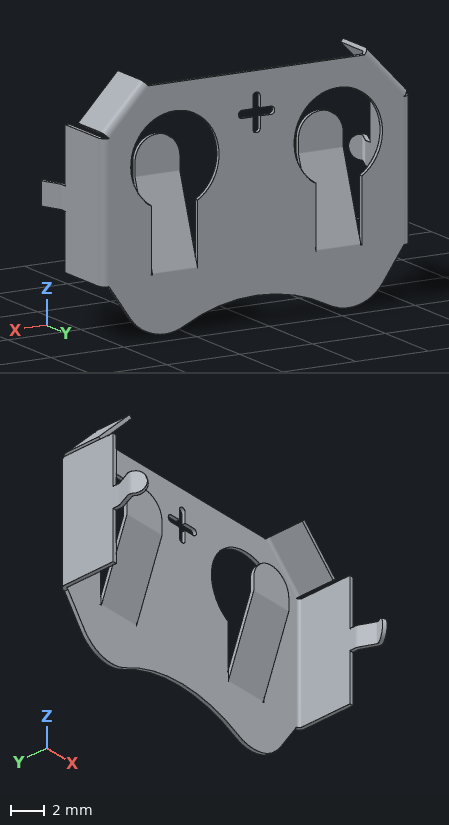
import cadquery as cq
import math


overall_width = 22.25
overall_depth = 7.03
sheet = 0.3
bend_inner = 0.2
bend_outer = bend_inner + sheet

latch_overhang = 0.51
latch_width = 1.55
latch_kink_depth = 4.78
latch_out_angle = math.radians(23.5)
latch_return_angle = math.radians(32)

flat_half_width = overall_width / 2 - latch_overhang - bend_outer
top_half_width = 7.39
top_z = 15.26
wall_top_z = 12.4
wall_bottom_z = 3.35
lobe_x = 6.3
lobe_radius = 2.9
bottom_arch_rise = 1.55

wall_depth = 4.32
corner_flange_depth = 3.05

finger_x = 5.6
finger_width = 3.1
finger_depth = 2.31
finger_root_z = 3.72
finger_bend_z = 9.2
finger_bend_radius = 0.2
finger_tip_z = 11.68
finger_side_gap = 0.07
window_radius = 3.03
window_z = 10.48

plus_z = 12.7
plus_length = 2.47
plus_arm_width = 0.5


def unit_direction(start, end):
    length = math.dist(start, end)
    return ((end[0] - start[0]) / length, (end[1] - start[1]) / length)


def offset_path(path, distance):
    """Mitred offset of an open path, to the left of its direction of travel."""
    directions = [unit_direction(a, b) for a, b in zip(path, path[1:])]
    before = directions[:1] + directions
    after = directions + directions[-1:]
    shifted = []
    for (x, y), d1, d2 in zip(path, before, after):
        mitre = distance / (1 + d1[0] * d2[0] + d1[1] * d2[1])
        shifted.append((x - (d1[1] + d2[1]) * mitre, y + (d1[0] + d2[0]) * mitre))
    return shifted


def sheet_outline(path):
    """Closed outline of the sheet lying on the left of a path."""
    return path + offset_path(path, sheet)[::-1]


def fillet_edge_at(body, midpoint, radius):
    return body.edges(cq.NearestToPointSelector(midpoint)).fillet(radius)


def half_plate():
    foot_dx = flat_half_width - lobe_x
    foot_dz = wall_bottom_z - lobe_radius
    foot_distance = math.hypot(foot_dx, foot_dz)
    tangent_angle = math.atan2(foot_dz, foot_dx) - math.acos(lobe_radius / foot_distance)

    radius_sum = (lobe_x**2 + bottom_arch_rise**2) / (2 * bottom_arch_rise)
    arch_radius = radius_sum - lobe_radius
    arch_center_z = bottom_arch_rise - arch_radius
    arch_half_angle = math.asin(lobe_x / radius_sum)

    def arch_point(angle):
        return (arch_radius * math.sin(angle), arch_center_z + arch_radius * math.cos(angle))

    lobe_start = (
        lobe_x + lobe_radius * math.cos(tangent_angle),
        lobe_radius + lobe_radius * math.sin(tangent_angle),
    )
    return (
        cq.Workplane("XZ")
        .moveTo(0, top_z)
        .lineTo(top_half_width, top_z)
        .lineTo(flat_half_width, wall_top_z)
        .lineTo(flat_half_width, wall_bottom_z)
        .lineTo(*lobe_start)
        .threePointArc((lobe_x, 0), arch_point(arch_half_angle))
        .threePointArc(arch_point(arch_half_angle / 2), (0, bottom_arch_rise))
        .close()
        .extrude(sheet)
    )


def flange(start, end, depth):
    """Forward-bent flange along a plate edge; the plate lies on the right from start to end."""
    along_x, along_z = unit_direction(start, end)
    edge_plane = cq.Plane(
        origin=(start[0], 0, start[1]),
        xDir=(-along_z, 0, along_x),
        normal=(along_x, 0, along_z),
    )
    half = math.sqrt(0.5)
    return (
        cq.Workplane(edge_plane)
        .moveTo(0, 0)
        .threePointArc((bend_outer * half, bend_outer * (1 - half)), (bend_outer, bend_outer))
        .lineTo(bend_outer, depth)
        .lineTo(bend_inner, depth)
        .lineTo(bend_inner, bend_outer)
        .threePointArc((bend_inner * half, bend_outer - bend_inner * half), (0, sheet))
        .close()
        .extrude(math.dist(start, end))
    )


def latch():
    wall_x = flat_half_width + bend_outer
    arc_x = overall_width / 2 - bend_outer
    tip_radius = latch_width / 2
    middle_z = (wall_top_z + wall_bottom_z) / 2

    rise = arc_x + bend_outer * math.cos(latch_out_angle) - wall_x
    arc_depth = latch_kink_depth + rise / math.tan(latch_out_angle) + bend_outer * math.sin(latch_out_angle)
    crest_reach = bend_outer / math.cos((latch_out_angle + latch_return_angle) / 2)
    crest_angle = (latch_return_angle - latch_out_angle) / 2
    crest = (
        arc_x + crest_reach * math.cos(crest_angle),
        -arc_depth - crest_reach * math.sin(crest_angle),
    )

    tip_dx = -math.sin(latch_return_angle)
    tip_dy = -math.cos(latch_return_angle)
    center_y = -overall_depth - tip_radius * tip_dy
    center_x = crest[0] + (center_y - crest[1]) * tip_dx / tip_dy
    path = [
        (center_x, center_y),
        crest,
        (wall_x, -latch_kink_depth),
        (wall_x, -wall_depth),
    ]
    outline = sheet_outline(path)
    strip = (
        cq.Workplane("XY")
        .workplane(offset=middle_z - latch_width / 2)
        .polyline(outline)
        .close()
        .extrude(latch_width)
    )
    _, outer_crest, outer_kink, _, _, inner_kink, inner_crest, _ = outline
    for corner in (outer_crest, inner_kink):
        strip = fillet_edge_at(strip, (*corner, middle_z), bend_outer)
    for corner in (inner_crest, outer_kink):
        strip = fillet_edge_at(strip, (*corner, middle_z), bend_inner)

    tip_plane = cq.Plane(
        origin=(center_x, center_y, middle_z),
        xDir=(tip_dx, tip_dy, 0),
        normal=(tip_dy, -tip_dx, 0),
    )
    tip = (
        cq.Workplane(tip_plane)
        .moveTo(0, -tip_radius)
        .threePointArc((tip_radius, 0), (0, tip_radius))
        .close()
        .extrude(sheet)
    )
    return strip.union(tip)


def finger_window():
    """Round window with a slot below it, from which the finger is bent."""
    slot_width = finger_width + finger_side_gap
    slot_height = window_z - finger_root_z
    slot = (
        cq.Workplane("XZ")
        .center(finger_x + finger_side_gap / 2, finger_root_z + slot_height / 2)
        .rect(slot_width, slot_height)
        .extrude(sheet)
    )
    return cq.Workplane("XZ").center(finger_x, window_z).circle(window_radius).extrude(sheet).union(slot)


def finger():
    root_z = finger_root_z - sheet
    path = [
        (-finger_depth, finger_tip_z),
        (-finger_depth, finger_bend_z),
        (-sheet, finger_root_z),
        (-sheet, root_z),
    ]
    outline = sheet_outline(path)
    strip = (
        cq.Workplane("YZ")
        .workplane(offset=finger_x - finger_width / 2)
        .polyline(outline)
        .close()
        .extrude(finger_width)
    )
    _, front_bend, front_root, _, _, back_root, back_bend, _ = outline
    for corner in (front_bend, front_root, back_root, back_bend):
        strip = fillet_edge_at(strip, (finger_x, *corner), finger_bend_radius)

    tip_radius = finger_width / 2
    tip_center_z = finger_tip_z - tip_radius
    silhouette = (
        cq.Workplane("XZ")
        .moveTo(finger_x - tip_radius, root_z)
        .lineTo(finger_x - tip_radius, tip_center_z)
        .threePointArc((finger_x, finger_tip_z), (finger_x + tip_radius, tip_center_z))
        .lineTo(finger_x + tip_radius, root_z)
        .close()
        .extrude(finger_depth)
    )
    return strip.intersect(silhouette)


def plus_mark():
    across = cq.Workplane("XZ").center(0, plus_z).slot2D(plus_length, plus_arm_width).extrude(sheet)
    upright = cq.Workplane("XZ").center(0, plus_z).slot2D(plus_length, plus_arm_width, 90).extrude(sheet)
    return across.union(upright)


top_corner = (top_half_width, top_z)
wall_top = (flat_half_width, wall_top_z)
wall_bottom = (flat_half_width, wall_bottom_z)

half_clip = (
    half_plate()
    .cut(finger_window())
    .union(finger())
    .union(flange(top_corner, wall_top, corner_flange_depth))
    .union(flange(wall_top, wall_bottom, wall_depth))
    .union(latch())
)
result = half_clip.union(half_clip.mirror("YZ")).cut(plus_mark())